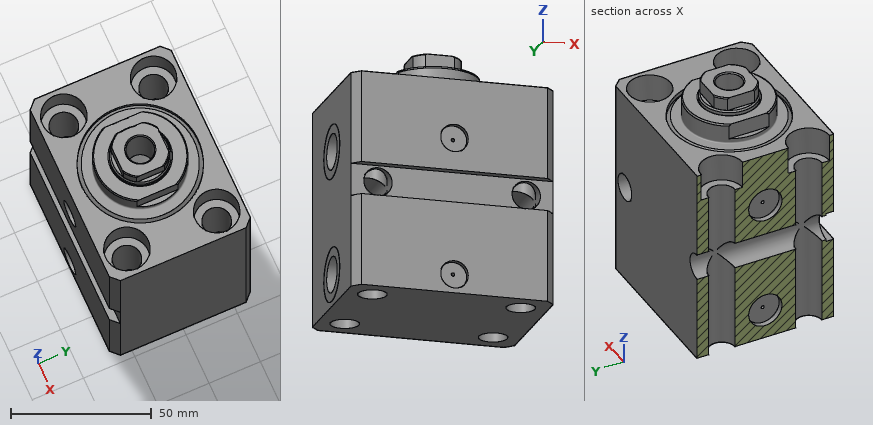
import cadquery as cq
import math

length_x = 75.0
width_y = 55.0
housing_height = 80.0
corner_chamfer = 3.0

groove_height = 12.0
groove_depth = corner_chamfer
groove_middle_z = housing_height / 2

mount_offset_x = 27.5
mount_offset_y = 17.5
mount_diameter = 10.5
counterbore_diameter = 16.5
counterbore_depth = 11.0

port_heights = (12.0, 58.0)
port_diameter = 13.2
port_depth = 12.0
spot_face_diameter = 20.0
spot_face_depth = 0.1
passage_diameter = 1.2
passage_depth = 3.0

pocket_heights = ((6.9, 7.5), (58.0, 57.8))
pocket_diameter = 10.2
pocket_depth = 2.0

gland_diameter = 45.0
gland_recess = 0.2
gland_face_z = housing_height - gland_recess
gland_depth = 20.0
gland_bottom_z = housing_height - gland_depth
gland_rim_chamfer = 1.5
collar_diameter = 34.0
collar_top_z = 88.0
collar_chamfer_width = 0.4
collar_chamfer_height = 0.7
collar_foot_radius = 0.5
collar_flats_width = 30.0
collar_flats_bottom_z = 81.8

rod_diameter = 22.0
rod_shoulder_z = 89.5
rod_shoulder_chamfer = 0.6
bore_chamfer = 0.5
rod_top_z = 94.9
square_width = 18.0
square_corner_diameter = 21.0
square_corner_chamfer = 0.4
rod_hole_diameter = 10.2
rod_hole_mouth_chamfer = 0.45
rod_hole_depth = 20.0
drill_angle = 118.0
countersink_angle = 90.0


def cylinder_z(diameter, bottom_z, top_z):
    """Upright cylinder on the central axis between two heights."""
    return cq.Workplane("XY").workplane(offset=bottom_z).circle(diameter / 2).extrude(top_z - bottom_z)


def drill_y(points, diameter, start_y, depth):
    """Cylinders running toward +Y from start_y, at (x, z) points."""
    plane = cq.Workplane("XZ", origin=(0, start_y, 0))
    return plane.pushPoints(points).circle(diameter / 2).extrude(-depth)


def drill_x(points, diameter, start_x, depth):
    """Cylinders running toward +X from start_x, at (y, z) points."""
    plane = cq.Workplane("YZ", origin=(start_x, 0, 0))
    return plane.pushPoints(points).circle(diameter / 2).extrude(depth)


def make_block():
    """Rectangular block with its four upright edges chamfered."""
    block = cq.Workplane("XY").rect(length_x, width_y).extrude(housing_height)
    return block.edges("|Z").chamfer(corner_chamfer)


def make_housing():
    left_x = -length_x / 2
    front_y = -width_y / 2

    groove = cq.Workplane("XY").box(length_x, 2 * groove_depth, groove_height)
    housing = make_block().cut(groove.translate((0, front_y, groove_middle_z)))

    housing = (
        housing.faces(">Z")
        .workplane(origin=(0, 0, housing_height))
        .rect(2 * mount_offset_x, 2 * mount_offset_y, forConstruction=True)
        .vertices()
        .cboreHole(mount_diameter, counterbore_diameter, counterbore_depth)
    )

    cross_points = [(side * mount_offset_x, groove_middle_z) for side in (-1, 1)]
    housing = housing.cut(drill_y(cross_points, mount_diameter, front_y, width_y))

    port_points = [(0, height) for height in port_heights]
    housing = housing.cut(drill_x(port_points, spot_face_diameter, left_x, spot_face_depth))
    housing = housing.cut(drill_x(port_points, port_diameter, left_x, port_depth))
    housing = housing.cut(drill_x(port_points, passage_diameter, left_x + port_depth, passage_depth))

    for pocket_z, passage_z in pocket_heights:
        housing = housing.cut(drill_y([(0, pocket_z)], pocket_diameter, front_y, pocket_depth))
        passage_y = front_y + pocket_depth
        housing = housing.cut(drill_y([(0, passage_z)], passage_diameter, passage_y, passage_depth))

    return housing.cut(cylinder_z(gland_diameter, gland_bottom_z, housing_height))


def make_gland():
    rim_radius = gland_diameter / 2
    collar_radius = collar_diameter / 2
    bore_radius = rod_diameter / 2
    profile = (
        cq.Workplane("XZ")
        .moveTo(bore_radius, gland_bottom_z)
        .lineTo(rim_radius, gland_bottom_z)
        .lineTo(rim_radius, gland_face_z - gland_rim_chamfer)
        .lineTo(rim_radius - gland_rim_chamfer, gland_face_z)
        .lineTo(collar_radius + collar_foot_radius, gland_face_z)
        .radiusArc((collar_radius, gland_face_z + collar_foot_radius), collar_foot_radius)
        .lineTo(collar_radius, collar_top_z - collar_chamfer_height)
        .lineTo(collar_radius - collar_chamfer_width, collar_top_z)
        .lineTo(bore_radius + bore_chamfer, collar_top_z)
        .lineTo(bore_radius, collar_top_z - bore_chamfer)
        .close()
    )
    gland = profile.revolve(360, (0, 0, 0), (0, 1, 0))

    wrench_slab = (
        cq.Workplane("XY")
        .workplane(offset=collar_flats_bottom_z)
        .rect(collar_flats_width, collar_diameter)
        .extrude(collar_top_z - collar_flats_bottom_z)
    )
    flat_zone = cylinder_z(gland_diameter, collar_flats_bottom_z, collar_top_z)
    return gland.cut(flat_zone.cut(wrench_slab))


def drill_point():
    """Cone left by the drill below the cylindrical part of the rod hole."""
    radius = rod_hole_diameter / 2
    cone_height = radius / math.tan(math.radians(drill_angle / 2))
    top_z = rod_top_z - rod_hole_depth
    profile = cq.Workplane("XZ").polyline([(0, top_z), (radius, top_z), (0, top_z - cone_height)]).close()
    return profile.revolve(360, (0, 0, 0), (0, 1, 0))


def make_rod():
    shank = cylinder_z(rod_diameter, gland_bottom_z, rod_shoulder_z)
    shank = shank.faces(">Z").chamfer(rod_shoulder_chamfer)

    head_height = rod_top_z - rod_shoulder_z
    head = cylinder_z(square_corner_diameter, rod_shoulder_z, rod_top_z)
    head = head.faces(">Z").chamfer(square_corner_chamfer)
    square = (
        cq.Workplane("XY")
        .workplane(offset=rod_shoulder_z)
        .rect(square_width, square_width)
        .extrude(head_height)
    )
    rod = shank.union(head.intersect(square))

    rod = (
        rod.faces(">Z")
        .workplane(origin=(0, 0, rod_top_z))
        .cskHole(
            rod_hole_diameter,
            rod_hole_diameter + 2 * rod_hole_mouth_chamfer,
            countersink_angle,
            rod_hole_depth,
        )
    )
    return rod.cut(drill_point())


housing = make_housing()
gland = make_gland()
rod = make_rod()

result = cq.Compound.makeCompound([housing.val(), gland.val(), rod.val()])